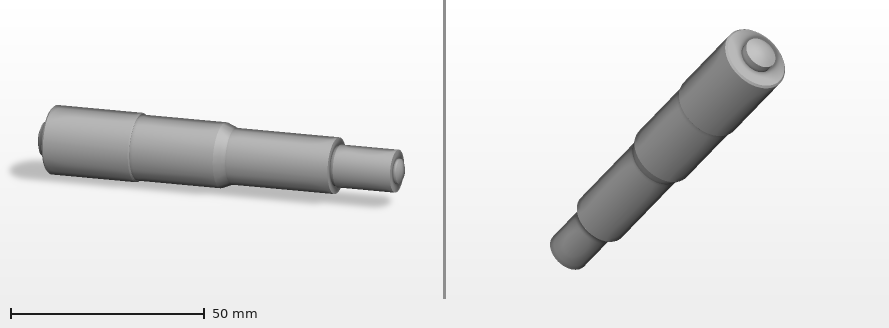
import cadquery as cq

total_length = 99.6
grip_diameter = 18.0

button_rim_x = 1.1
thimble_face_x = 3.5
grip_end_x = 27.5
taper_start_x = 50.3
taper_end_x = 53.3
neck_start_x = 81.3
neck_end_x = 82.1
shank_end_x = 97.7
tip_rim_x = 98.5

button_radius = 4.4
grip_radius = grip_diameter / 2
thimble_radius = 8.6
barrel_radius = 7.4
neck_radius = 5.3
shank_radius = 5.6
spindle_radius = 3.3

front_chamfer = 0.5
rear_chamfer = 0.3


def dome_flank(dome_height, rim_radius):
    """Return the rise above the rim and the radius of a spherical cap at half its rim radius."""
    sphere_radius = (rim_radius**2 + dome_height**2) / (2 * dome_height)
    mid_radius = rim_radius / 2
    drop = sphere_radius - (sphere_radius**2 - mid_radius**2) ** 0.5
    return dome_height - drop, mid_radius


def revolve_about_x(half_profile):
    """Turn a closed half profile, drawn as (x, radius), about the X axis."""
    return half_profile.close().revolve(360, (0, 0, 0), (1, 0, 0))


def make_thimble_spindle():
    """Thimble with its domed button and the spindle that runs out through the barrel."""
    button_rise, button_mid_radius = dome_flank(button_rim_x, button_radius)
    tip_rise, tip_mid_radius = dome_flank(total_length - tip_rim_x, spindle_radius)
    half_profile = (
        cq.Workplane("XY")
        .moveTo(0, 0)
        .threePointArc((button_rim_x - button_rise, button_mid_radius), (button_rim_x, button_radius))
        .lineTo(thimble_face_x, button_radius)
        .lineTo(thimble_face_x, grip_radius - front_chamfer)
        .lineTo(thimble_face_x + front_chamfer, grip_radius)
        .lineTo(grip_end_x - rear_chamfer, grip_radius)
        .lineTo(grip_end_x, grip_radius - rear_chamfer)
        .lineTo(grip_end_x, thimble_radius)
        .lineTo(taper_start_x, thimble_radius)
        .lineTo(taper_end_x, barrel_radius)
        .lineTo(taper_end_x, spindle_radius)
        .lineTo(tip_rim_x, spindle_radius)
        .threePointArc((tip_rim_x + tip_rise, tip_mid_radius), (total_length, 0))
    )
    return revolve_about_x(half_profile)


def make_barrel():
    """Fixed barrel with a relief neck and mounting shank, bored through for the spindle."""
    half_profile = (
        cq.Workplane("XY")
        .moveTo(taper_end_x, spindle_radius)
        .lineTo(taper_end_x, barrel_radius)
        .lineTo(neck_start_x, barrel_radius)
        .lineTo(neck_start_x, neck_radius)
        .lineTo(neck_end_x, neck_radius)
        .lineTo(neck_end_x, shank_radius)
        .lineTo(shank_end_x, shank_radius)
        .lineTo(shank_end_x, spindle_radius)
    )
    return revolve_about_x(half_profile)


thimble_spindle = make_thimble_spindle()
barrel = make_barrel()

result = cq.Compound.makeCompound([thimble_spindle.val(), barrel.val()])